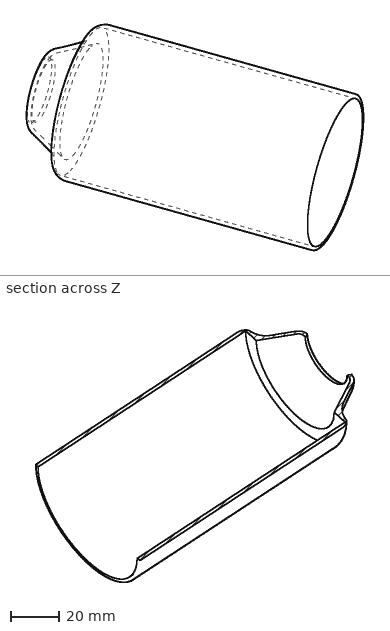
import cadquery as cq
import math

length = 130.6
outer_radius = 67 / 2
bore_radius = 63.4 / 2
wall = outer_radius - bore_radius
nose_x = -length / 2
rim_x = length / 2

mouth_radius = 26.75 / 2
mouth_edge_radius = 14.1
mouth_round_depth = 1.5
lip_radius = 4.75

neck_angle = math.radians(28.4)
throat_x = nose_x + 11.95
throat_radius = 10.0
flare_angle = math.radians(82)

shoulder_x = nose_x + 21.4
shoulder_radius = 5.3
shoulder_edge_radius = 1.5

bore_floor_x = nose_x + 18.5
rim_radius = 0.5

nose_normal = math.pi
cylinder_normal = math.pi / 2
neck_normal = neck_angle + math.pi / 2
flare_normal = flare_angle + math.pi / 2


def on_arc(center, radius, angle):
    """Point on a circle; the angle is measured from +X."""
    return (center[0] + radius * math.cos(angle), center[1] + radius * math.sin(angle))


def add_arc(path, center, radius, start, end):
    """Extend the path along an arc that begins at its current point."""
    middle = on_arc(center, radius, (start + end) / 2)
    return path.threePointArc(middle, on_arc(center, radius, end))


def revolve_profile(path):
    """Close a profile drawn in the XY plane and turn it about the X axis."""
    return path.close().revolve(360, (0, 0, 0), (1, 0, 0))


lip_center = (nose_x + lip_radius, mouth_edge_radius)
neck_start = on_arc(lip_center, lip_radius, neck_normal)
neck_end = (throat_x, neck_start[1] + (throat_x - neck_start[0]) * math.tan(neck_angle))
throat_center = on_arc(neck_end, throat_radius, neck_normal)
flare_end = on_arc(throat_center, throat_radius, flare_normal + math.pi)
shoulder_center = (shoulder_x, outer_radius - shoulder_radius)
rim_center = (rim_x - rim_radius, outer_radius - rim_radius)

edge_gap = shoulder_radius - shoulder_edge_radius
flare_distance = (flare_end[0] - shoulder_center[0]) * math.cos(flare_normal)
flare_distance += (flare_end[1] - shoulder_center[1]) * math.sin(flare_normal)
edge_normal = flare_normal - math.acos((flare_distance - shoulder_edge_radius) / edge_gap)
edge_center = on_arc(shoulder_center, edge_gap, edge_normal)


def outer_body():
    """Solid body bounded by the outer skin."""
    path = cq.Workplane("XY").moveTo(nose_x, 0).lineTo(nose_x, mouth_edge_radius)
    path = add_arc(path, lip_center, lip_radius, nose_normal, neck_normal)
    path = path.lineTo(*neck_end)
    path = add_arc(path, throat_center, throat_radius, neck_normal + math.pi, flare_normal + math.pi)
    path = path.lineTo(*on_arc(edge_center, shoulder_edge_radius, flare_normal))
    path = add_arc(path, edge_center, shoulder_edge_radius, flare_normal, edge_normal)
    path = add_arc(path, shoulder_center, shoulder_radius, edge_normal, cylinder_normal)
    path = path.lineTo(rim_center[0], outer_radius)
    path = add_arc(path, rim_center, rim_radius, cylinder_normal, 0)
    path = path.lineTo(rim_x, 0)
    return revolve_profile(path)


def mouth():
    """Opening through the lip; its entry round runs tangent into a short cylinder."""
    entry_step = mouth_edge_radius - mouth_radius
    entry_radius = (mouth_round_depth**2 + entry_step**2) / (2 * entry_step)
    entry_end_x = nose_x + mouth_round_depth
    entry_center = (entry_end_x, mouth_radius + entry_radius)
    entry_start = math.pi + math.acos(mouth_round_depth / entry_radius)
    path = cq.Workplane("XY").moveTo(nose_x, 0).lineTo(nose_x, mouth_edge_radius)
    path = add_arc(path, entry_center, entry_radius, entry_start, 1.5 * math.pi)
    path = path.lineTo(nose_x + wall, mouth_radius).lineTo(nose_x + wall, 0)
    return revolve_profile(path)


def neck_cavity():
    """Cavity behind the lip, one wall thickness inside the lip and the neck."""
    inner_radius = lip_radius - wall
    cone_start = on_arc(lip_center, inner_radius, neck_normal)
    cone_end_radius = cone_start[1] + (bore_floor_x - cone_start[0]) * math.tan(neck_angle)
    path = cq.Workplane("XY").moveTo(nose_x + wall, 0).lineTo(nose_x + wall, mouth_edge_radius)
    path = add_arc(path, lip_center, inner_radius, nose_normal, neck_normal)
    path = path.lineTo(bore_floor_x, cone_end_radius).lineTo(bore_floor_x, 0)
    return revolve_profile(path)


def main_bore():
    """Straight bore with a flat floor, open at the rim."""
    depth = rim_x - bore_floor_x
    return cq.Workplane("YZ", origin=(bore_floor_x, 0, 0)).circle(bore_radius).extrude(depth)


result = outer_body().cut(mouth()).cut(neck_cavity()).cut(main_bore())